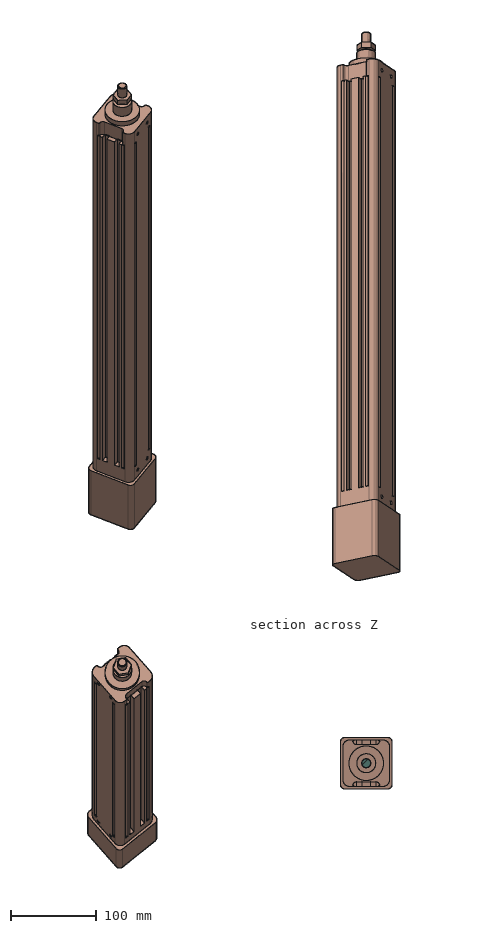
import cadquery as cq

total_length = 670.0

block_side = 60.0
block_height = 70.5
block_corner_radius = 5.5

body_side = 54.0
body_top = 624.5
body_corner_radius = 8.0
cap_length = 20.0
profile_bottom = block_height + cap_length
profile_top = body_top - cap_length
profile_length = profile_top - profile_bottom

flange_diameter = 40.0
flange_top = 631.0
collar_diameter = 22.0
collar_top = 645.0
rod_diameter = 11.0
rod_tip_chamfer = 1.0

nut_across_flats = 19.0
nut_bottom = 648.5
nut_height = 7.0

recess_width = 31.0
recess_depth = 5.5
recess_floor_radius = 4.0
recess_lip_radius = 1.0

rib_width = 10.0
slot_width = 6.0
slot_depth = 7.0
slot_offset = (rib_width + slot_width) / 2

groove_width = 3.5
groove_offset = 16.0

hole_diameter = 4.0
hole_depth = 8.0
hole_spacing = 22.0
hole_heights = (block_height + cap_length / 2, body_top - cap_length / 2)


def square_column(side, bottom, top, corner_radius):
    """Upright square column with rounded vertical edges."""
    height = top - bottom
    column = cq.Workplane("XY").workplane(offset=bottom).rect(side, side).extrude(height)
    return column.edges("|Z").fillet(corner_radius)


def disc(diameter, bottom, top):
    """Upright cylinder on the Z axis."""
    return cq.Workplane("XY").workplane(offset=bottom).circle(diameter / 2).extrude(top - bottom)


def profile_slot(offset):
    """Cutter for a slot in the -Y side of the body."""
    center_y = (slot_depth - body_side) / 2
    return (
        cq.Workplane("XY").workplane(offset=profile_bottom)
        .center(offset, center_y).rect(slot_width, slot_depth).extrude(profile_length)
    )


def profile_groove(offset):
    """Cutter for a half-round groove in the -Y side of the body."""
    return (
        cq.Workplane("XY").workplane(offset=profile_bottom)
        .center(offset, -body_side / 2).circle(groove_width / 2).extrude(profile_length)
    )


def cap_recess():
    """Cutter for the -Y cap recess: flared lips outside, rounded corners at the floor."""
    outer_y = -body_side / 2
    lip_y = outer_y + recess_lip_radius
    floor_y = outer_y + recess_depth
    half_width = recess_width / 2
    half_mouth = half_width + recess_lip_radius
    half_floor = half_width - recess_floor_radius
    corner_y = floor_y - recess_floor_radius
    return (
        cq.Workplane("XY").workplane(offset=profile_top)
        .moveTo(-half_mouth, outer_y)
        .radiusArc((-half_width, lip_y), -recess_lip_radius)
        .lineTo(-half_width, corner_y)
        .radiusArc((-half_floor, floor_y), recess_floor_radius)
        .lineTo(half_floor, floor_y)
        .radiusArc((half_width, corner_y), recess_floor_radius)
        .lineTo(half_width, lip_y)
        .radiusArc((half_mouth, outer_y), -recess_lip_radius)
        .close().extrude(cap_length)
    )


def around_z(shape, angle):
    """Shape turned about the Z axis."""
    return shape.rotate((0, 0, 0), (0, 0, 1), angle)


body = square_column(body_side, block_height, body_top, body_corner_radius)
for angle in (0, 180):
    body = body.cut(around_z(cap_recess(), angle))
    for side in (-1, 1):
        body = body.cut(around_z(profile_slot(side * slot_offset), angle))
for angle in (0, 90, 180, 270):
    for side in (-1, 1):
        body = body.cut(around_z(profile_groove(side * groove_offset), angle))

for height in hole_heights:
    for side in (-1, 1):
        hole = (
            cq.Workplane("YZ").workplane(offset=-body_side / 2)
            .center(side * hole_spacing / 2, height).circle(hole_diameter / 2).extrude(hole_depth)
        )
        body = body.cut(hole).cut(around_z(hole, 180))

nut = (
    cq.Workplane("XY").workplane(offset=nut_bottom)
    .polygon(6, nut_across_flats, circumscribed=True).extrude(nut_height)
)

rod = disc(rod_diameter, collar_top, total_length).faces(">Z").chamfer(rod_tip_chamfer)

result = (
    square_column(block_side, 0, block_height, block_corner_radius)
    .union(body)
    .union(disc(flange_diameter, body_top, flange_top))
    .union(disc(collar_diameter, flange_top, collar_top))
    .union(rod)
    .union(nut)
)